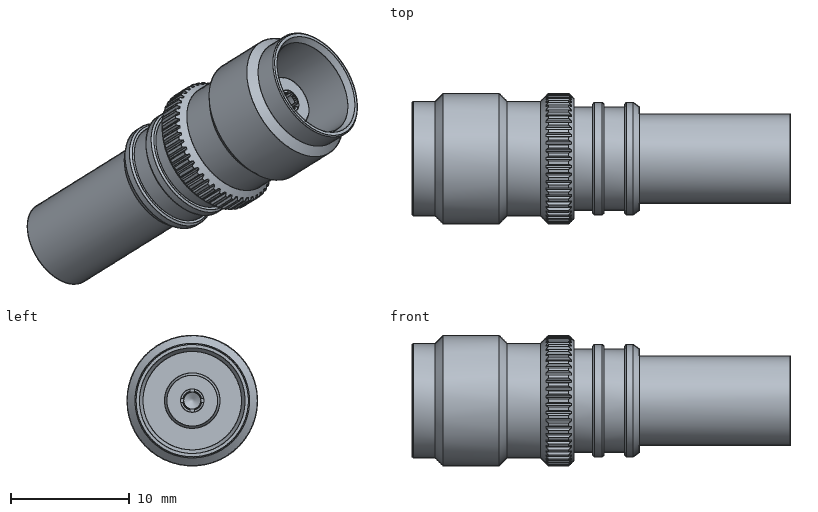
import cadquery as cq
import math


TOTAL_LENGTH = 31.88
BARREL_START = 1.95
BARREL_END = 8.0
KNURL_START = 10.83
KNURL_END = 13.65
FRONT_RING_START = 15.2
FRONT_RING_FLAT = 0.65
REAR_RING_START = 17.9
REAR_RING_FLAT = 0.55
HOUSING_LENGTH = 19.15

BARREL_RADIUS = 5.5
WAIST_RADIUS = 4.83
NECK_RADIUS = 4.36
RING_RADIUS = 4.75
SLEEVE_RADIUS = 3.77

STEP_CHAMFER = BARREL_RADIUS - WAIST_RADIUS
KNURL_REAR_CHAMFER = 0.45
RIM_CHAMFER = 0.1
RING_CHAMFER = 0.17

GROOVE_COUNT = 50
GROOVE_DEPTH = 0.22
GROOVE_FLOOR_WIDTH = 0.16
GROOVE_TOP_WIDTH = 0.42

SOCKET_RADIUS = 4.15
SOCKET_DEPTH = 8.0
SOCKET_LEAD_IN_DEPTH = 0.55
SOCKET_LEAD_IN_WIDTH = 0.3
CORE_RADIUS = 2.34
CORE_CHAMFER_WIDTH = 0.2
CORE_CHAMFER_LENGTH = 0.4
CORE_FRONT = 3.2

CONTACT_RADIUS = 0.98
CONTACT_RECESS = 0.1
CONTACT_FRONT = CORE_FRONT + CONTACT_RECESS
BORE_RADIUS = 0.72
BORE_DEPTH = 3.0
BORE_POINT_HALF_ANGLE = 59
BORE_CONE_LENGTH = BORE_RADIUS / math.tan(math.radians(BORE_POINT_HALF_ANGLE))
CONTACT_LEAD_IN = 0.08
SLOT_WIDTH = 0.35
SLOT_DEPTH = 2.0


def revolve_about_x(points):
    """Solid of revolution about X from (x, radius) points."""
    return cq.Workplane("XY").polyline(points).close().revolve(360, (0, 0, 0), (1, 0, 0))


def cylinder_along_x(start, length, radius):
    return cq.Workplane("YZ", origin=(start, 0, 0)).circle(radius).extrude(length)


def housing_blank():
    """Stepped outside of the housing, still solid inside."""
    front_flat_start = FRONT_RING_START + RING_CHAMFER
    front_flat_end = front_flat_start + FRONT_RING_FLAT
    front_ring_end = front_flat_end + RING_CHAMFER
    rear_flat_start = REAR_RING_START + RING_CHAMFER
    rear_flat_end = rear_flat_start + REAR_RING_FLAT
    ring_shoulder = RING_RADIUS - RING_CHAMFER
    return revolve_about_x([
        (0, 0),
        (0, WAIST_RADIUS - RIM_CHAMFER),
        (RIM_CHAMFER, WAIST_RADIUS),
        (BARREL_START, WAIST_RADIUS),
        (BARREL_START + STEP_CHAMFER, BARREL_RADIUS),
        (BARREL_END - STEP_CHAMFER, BARREL_RADIUS),
        (BARREL_END, WAIST_RADIUS),
        (KNURL_START, WAIST_RADIUS),
        (KNURL_START + STEP_CHAMFER, BARREL_RADIUS),
        (KNURL_END - KNURL_REAR_CHAMFER, BARREL_RADIUS),
        (KNURL_END, BARREL_RADIUS - KNURL_REAR_CHAMFER),
        (KNURL_END, NECK_RADIUS),
        (FRONT_RING_START, NECK_RADIUS),
        (FRONT_RING_START, ring_shoulder),
        (front_flat_start, RING_RADIUS),
        (front_flat_end, RING_RADIUS),
        (front_ring_end, ring_shoulder),
        (front_ring_end, NECK_RADIUS),
        (REAR_RING_START, NECK_RADIUS),
        (REAR_RING_START, ring_shoulder),
        (rear_flat_start, RING_RADIUS),
        (rear_flat_end, RING_RADIUS),
        (HOUSING_LENGTH, NECK_RADIUS),
        (HOUSING_LENGTH, 0),
    ])


def knurl_grooves():
    """All the groove cutters, placed so that a crest lies on the Y axis."""
    floor = BARREL_RADIUS - GROOVE_DEPTH
    flank_run = (GROOVE_TOP_WIDTH - GROOVE_FLOOR_WIDTH) / 2
    outer_half_width = GROOVE_TOP_WIDTH / 2 + flank_run
    floor_half_width = GROOVE_FLOOR_WIDTH / 2
    groove = (
        cq.Workplane("YZ", origin=(KNURL_START, 0, 0))
        .polyline([
            (floor, -floor_half_width),
            (floor + 2 * GROOVE_DEPTH, -outer_half_width),
            (floor + 2 * GROOVE_DEPTH, outer_half_width),
            (floor, floor_half_width),
        ])
        .close()
        .extrude(KNURL_END - KNURL_START)
    )
    pitch = 360 / GROOVE_COUNT
    grooves = []
    for index in range(GROOVE_COUNT):
        turned = groove.rotate((0, 0, 0), (1, 0, 0), (index + 0.5) * pitch)
        grooves.append(turned.val())
    return cq.Workplane(cq.Compound.makeCompound(grooves))


def socket():
    """Ring-shaped cavity that leaves the chamfered core standing."""
    return revolve_about_x([
        (0, 0),
        (0, SOCKET_RADIUS + SOCKET_LEAD_IN_WIDTH),
        (SOCKET_LEAD_IN_DEPTH, SOCKET_RADIUS),
        (SOCKET_DEPTH, SOCKET_RADIUS),
        (SOCKET_DEPTH, CORE_RADIUS),
        (CORE_FRONT + CORE_CHAMFER_LENGTH, CORE_RADIUS),
        (CORE_FRONT, CORE_RADIUS - CORE_CHAMFER_WIDTH),
        (CORE_FRONT, 0),
    ])


def contact_bore():
    """Blind bore with a lead-in at its mouth and a drill-point end."""
    return revolve_about_x([
        (0, 0),
        (0, BORE_RADIUS + CONTACT_LEAD_IN),
        (CONTACT_FRONT, BORE_RADIUS + CONTACT_LEAD_IN),
        (CONTACT_FRONT + CONTACT_LEAD_IN, BORE_RADIUS),
        (CONTACT_FRONT + BORE_DEPTH, BORE_RADIUS),
        (CONTACT_FRONT + BORE_DEPTH + BORE_CONE_LENGTH, 0),
    ])


def contact_slots():
    """Recess over the contact and the two crossed slots below it, as one cutter."""
    slot_end = CONTACT_FRONT + SLOT_DEPTH
    width = 2 * CONTACT_RADIUS
    slot = cq.Workplane("YZ").rect(width, SLOT_WIDTH).extrude(slot_end)
    crossing_slot = cq.Workplane("YZ").rect(SLOT_WIDTH, width).extrude(slot_end)
    recess = cq.Workplane("YZ").rect(width, width).extrude(CONTACT_FRONT)
    cutter = slot.union(crossing_slot).union(recess)
    return cutter.intersect(cylinder_along_x(0, slot_end, CONTACT_RADIUS))


housing = (
    housing_blank()
    .cut(socket())
    .cut(contact_slots())
    .cut(contact_bore())
    .cut(knurl_grooves())
)

sleeve = cylinder_along_x(HOUSING_LENGTH, TOTAL_LENGTH - HOUSING_LENGTH, SLEEVE_RADIUS)

result = cq.Compound.makeCompound([housing.val(), sleeve.val()])